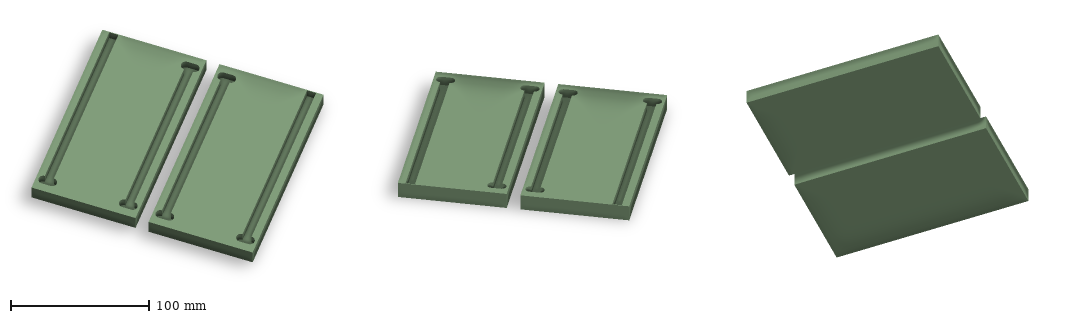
import cadquery as cq

overall_width = 170.0
plate_gap = 10.0
plate_width = (overall_width - plate_gap) / 2
plate_length = 150.0
plate_thickness = 12.0

groove_width = 7.0
groove_depth = 7.0
groove_inset = 9.0
pocket_length = 2 * groove_width
pocket_inset = 9.5
end_wall = 0.5

inner_edge = plate_gap / 2
outer_edge = overall_width / 2
groove_floor = plate_thickness - groove_depth
pocket_y = plate_length / 2 - pocket_inset


def groove(x, y_start, y_end):
    """Straight cutter along Y, from the groove floor to the top face."""
    length = y_end - y_start
    return (
        cq.Workplane("XY", origin=(x, (y_start + y_end) / 2, groove_floor))
        .rect(groove_width, length)
        .extrude(groove_depth)
    )


def end_pocket(x, y):
    """Round-ended cutter lying across a groove end, as deep as the groove."""
    return (
        cq.Workplane("XY", origin=(x, y, groove_floor))
        .slot2D(pocket_length, groove_width)
        .extrude(groove_depth)
    )


def make_plate(side):
    """Grooved plate on the -X side (side = -1) or the +X side (side = 1)."""
    plate_x = side * (inner_edge + outer_edge) / 2
    inner_x = side * (inner_edge + groove_inset)
    outer_x = side * (outer_edge - groove_inset)

    plate = (
        cq.Workplane("XY", origin=(plate_x, 0, 0))
        .rect(plate_width, plate_length)
        .extrude(plate_thickness)
    )

    plate = plate.cut(groove(inner_x, -pocket_y, pocket_y))
    for y in (-pocket_y, pocket_y):
        plate = plate.cut(end_pocket(inner_x, y))

    plate = plate.cut(groove(outer_x, -pocket_y, plate_length / 2 - end_wall))
    return plate.cut(end_pocket(outer_x, -pocket_y))


plates = [make_plate(side) for side in (-1, 1)]

result = cq.Compound.makeCompound([plate.val() for plate in plates])